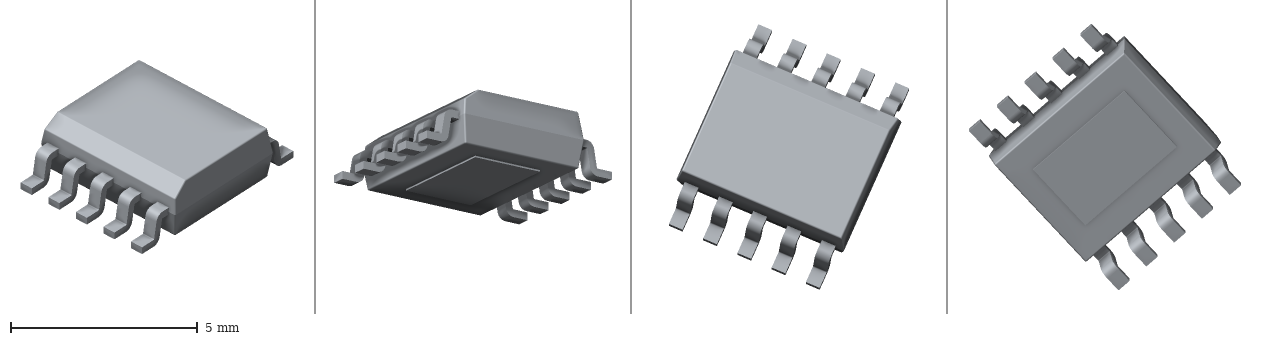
import cadquery as cq
import math

body_length = 4.9
body_width = 3.9
body_top = 1.66
body_bottom = 0.05
parting_height = 0.84
draft_angle = 8.0
edge_radius = 0.05
corner_reach = 0.18

slope_top_y = -1.415
slope_low_height = 1.31

pad_length = 3.3
pad_width = 2.1

leads_per_row = 5
lead_pitch = 1.0
lead_width = 0.4
lead_thickness = 0.22
lead_tip_y = 3.0
lead_root_y = 1.74
shoulder_top = 0.97
shoulder_end_y = 2.18
leg_angle = 10.0
inner_radius = 0.03
outer_radius = inner_radius + lead_thickness


def make_body_half(height):
    """Tapered block standing on the parting plane."""
    return cq.Workplane("XY").rect(body_length, body_width).extrude(height, taper=draft_angle)


def make_body():
    """Both halves joined, with the sloped face cut and the edges rounded."""
    upper = make_body_half(body_top - parting_height)
    lower = make_body_half(parting_height - body_bottom).mirror("XY")
    body = upper.union(lower).translate((0, 0, parting_height))

    draft_slope = math.tan(math.radians(draft_angle))
    slope_low_y = -body_width / 2 + (slope_low_height - parting_height) * draft_slope
    rise = body_top - slope_low_height
    run = slope_top_y - slope_low_y
    wedge = (
        cq.Workplane("YZ")
        .moveTo(slope_low_y - run, slope_low_height - rise)
        .lineTo(slope_top_y + run, body_top + rise)
        .lineTo(slope_low_y - run, body_top + rise)
        .close()
        .extrude(body_length / 2, both=True)
    )
    body = body.cut(wedge)

    parting_line = cq.selectors.BoxSelector(
        (-body_length, -body_width, parting_height - edge_radius),
        (body_length, body_width, parting_height + edge_radius),
    )
    sharp_corner = cq.selectors.BoxSelector(
        (-body_length, body_width / 2 - corner_reach, body_bottom + edge_radius),
        (-body_length / 2 + corner_reach, body_width, body_top - edge_radius),
    )
    sharp_edges = cq.selectors.SumSelector(parting_line, sharp_corner)
    all_edges = cq.selectors.BoxSelector(
        (-body_length, -body_width, -body_top),
        (body_length, body_width, 2 * body_top),
    )
    rounded_edges = cq.selectors.SubtractSelector(all_edges, sharp_edges)
    return body.edges(rounded_edges).fillet(edge_radius)


def make_pad():
    """Exposed pad, reaching up inside the body as far as the parting plane."""
    return cq.Workplane("XY").rect(pad_length, pad_width).extrude(parting_height)


def make_lead():
    """One +Y lead centred on X = 0: shoulder, bend, leaning leg, bend and foot."""
    angle = math.radians(leg_angle)
    upper_y = shoulder_end_y
    upper_z = shoulder_top - outer_radius
    lower_z = outer_radius
    bend_spread = outer_radius + inner_radius
    lower_y = upper_y + (bend_spread + (upper_z - lower_z) * math.sin(angle)) / math.cos(angle)

    def upper_bend(radius, turn):
        return upper_y + radius * math.cos(turn), upper_z + radius * math.sin(turn)

    def lower_bend(radius, turn):
        return lower_y - radius * math.cos(turn), lower_z - radius * math.sin(turn)

    quarter_turn = math.pi / 2
    middle_turn = (angle + quarter_turn) / 2
    profile = (
        cq.Workplane("YZ")
        .moveTo(lead_root_y, shoulder_top)
        .lineTo(*upper_bend(outer_radius, quarter_turn))
        .threePointArc(upper_bend(outer_radius, middle_turn), upper_bend(outer_radius, angle))
        .lineTo(*lower_bend(inner_radius, angle))
        .threePointArc(lower_bend(inner_radius, middle_turn), lower_bend(inner_radius, quarter_turn))
        .lineTo(lead_tip_y, lead_thickness)
        .lineTo(lead_tip_y, 0)
        .lineTo(*lower_bend(outer_radius, quarter_turn))
        .threePointArc(lower_bend(outer_radius, middle_turn), lower_bend(outer_radius, angle))
        .lineTo(*upper_bend(inner_radius, angle))
        .threePointArc(upper_bend(inner_radius, middle_turn), upper_bend(inner_radius, quarter_turn))
        .lineTo(lead_root_y, shoulder_top - lead_thickness)
        .close()
    )
    return profile.extrude(lead_width / 2, both=True)


result = make_body().union(make_pad())
back_lead = make_lead()
front_lead = back_lead.mirror("XZ")
for index in range(leads_per_row):
    lead_x = (index - (leads_per_row - 1) / 2) * lead_pitch
    result = result.union(back_lead.translate((lead_x, 0, 0)))
    result = result.union(front_lead.translate((lead_x, 0, 0)))